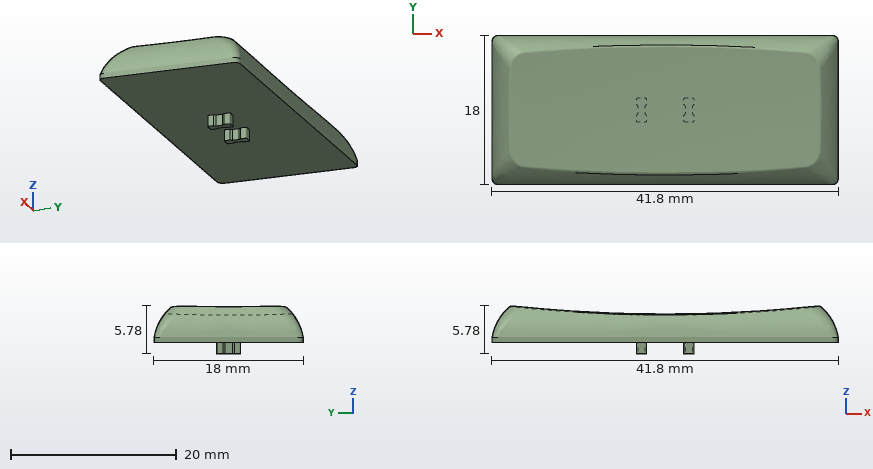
import cadquery as cq
import math

LENGTH = 41.75
WIDTH = 18.0
CAP_HEIGHT = 4.4
SKIRT_HEIGHT = 0.63
SKIRT_CORNER_RADIUS = 0.75

FLANK_RADIUS = 6.3
FLANK_START_TILT = math.radians(10)
FLANK_SECTIONS = 5
TOP_CORNER_RADIUS = 1.9

DISH_RADIUS = 165.0
DISH_DEPTH = 1.13
RIM_FILLET = 0.35

BLANK_HEIGHT = CAP_HEIGHT + 0.2

LEG_SPACING = 5.7
LEG_THICKNESS = 1.25
LEG_WIDTH = 2.9
LEG_LENGTH = 1.38
LEG_CORNER_FILLET = 0.2
GROOVE_MOUTH = 1.38
GROOVE_FLOOR = 0.88
GROOVE_DEPTH = 0.2


def flank_inset(rise):
    """Inward distance of the flank at a given rise above the skirt."""
    sine = math.sin(FLANK_START_TILT) + rise / FLANK_RADIUS
    return FLANK_RADIUS * (math.cos(FLANK_START_TILT) - math.sqrt(1 - sine**2))


def rounded_outline(inset, corner):
    """Plan outline of the body, pulled in by an inset and rounded at the corners."""
    return cq.Sketch().rect(LENGTH - 2 * inset, WIDTH - 2 * inset).vertices().fillet(corner)


def flank_section(rise):
    """Section of the flanks at a given rise; its corners round off more towards the top."""
    growth = rise / (CAP_HEIGHT - SKIRT_HEIGHT)
    corner = SKIRT_CORNER_RADIUS + growth * (TOP_CORNER_RADIUS - SKIRT_CORNER_RADIUS)
    level = cq.Location(cq.Vector(0, 0, SKIRT_HEIGHT + rise))
    return rounded_outline(flank_inset(rise), corner).moved(level)


def make_skirt():
    outline = rounded_outline(0, SKIRT_CORNER_RADIUS)
    return cq.Workplane("XY").placeSketch(outline).extrude(SKIRT_HEIGHT)


def make_flanks():
    step = (BLANK_HEIGHT - SKIRT_HEIGHT) / (FLANK_SECTIONS - 1)
    sections = [flank_section(index * step) for index in range(FLANK_SECTIONS)]
    return cq.Workplane("XY").placeSketch(*sections).loft()


def make_dish():
    centre_height = CAP_HEIGHT - DISH_DEPTH + DISH_RADIUS
    return cq.Workplane("XZ").sphere(DISH_RADIUS).translate((0, 0, centre_height))


def make_leg(x):
    """Rounded rectangular leg with a flared groove down both broad faces."""
    leg = (
        cq.Workplane("XY")
        .center(x, 0)
        .rect(LEG_THICKNESS, LEG_WIDTH)
        .extrude(-LEG_LENGTH)
        .edges("|Z")
        .fillet(LEG_CORNER_FILLET)
    )
    for side in (-1, 1):
        face_x = x + side * LEG_THICKNESS / 2
        floor_x = face_x - side * GROOVE_DEPTH
        groove = (
            cq.Workplane("XY")
            .moveTo(face_x, -GROOVE_MOUTH / 2)
            .lineTo(floor_x, -GROOVE_FLOOR / 2)
            .lineTo(floor_x, GROOVE_FLOOR / 2)
            .lineTo(face_x, GROOVE_MOUTH / 2)
            .close()
            .extrude(-LEG_LENGTH)
        )
        leg = leg.cut(groove)
    return leg


def make_crown():
    """Flanks with the dish cut into the top and its rim rounded."""
    dished = make_flanks().cut(make_dish())
    return dished.faces(">Z").edges().fillet(RIM_FILLET)


result = make_skirt().union(make_crown())
for leg_x in (-LEG_SPACING / 2, LEG_SPACING / 2):
    result = result.union(make_leg(leg_x))